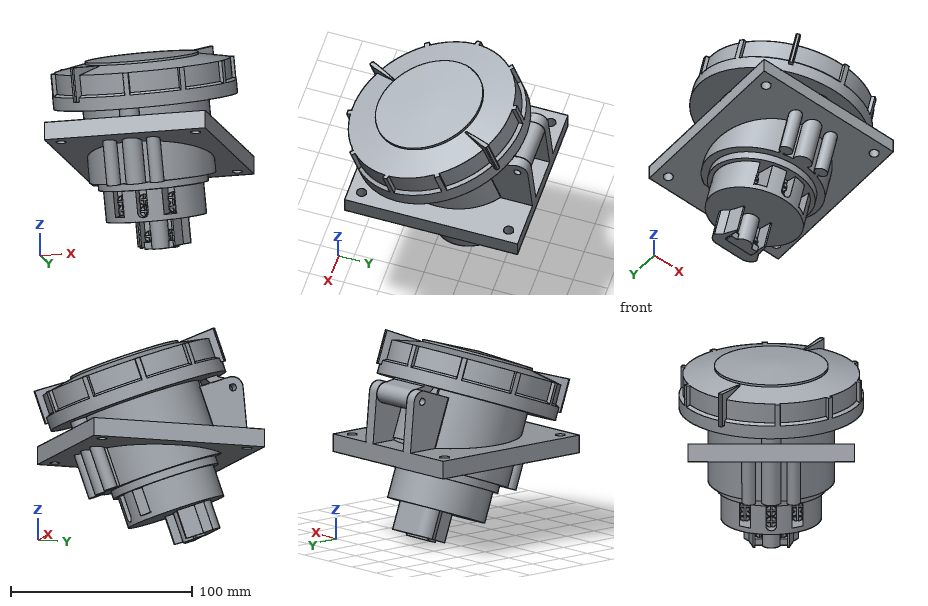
import cadquery as cq
import math

TILT = 20.0
AXIS_Y = 3.6

PLATE_X = 92.0
PLATE_Y = 100.0
PLATE_T = 10.0
SCREW_HOLE_D = 5.5
SCREW_PITCH_X = 77.0
SCREW_PITCH_Y = 85.0

LID_D = 101.9
LID_R = LID_D / 2
LID_BOTTOM = 32.1
SKIRT_TOP = 39.5
GRIP_R = 48.8
GRIP_BOTTOM = 40.7
GRIP_TOP = 51.8
DISC_R = 31.4
DISC_BOTTOM = 55.3
DISC_TOP = 56.6
APEX = 58.2
RIB_COUNT = 10
RIB_FIRST_ANGLE = 94.0
RIB_W = 2.9
HANDLE_SLOTS = (4, 9)
HANDLE_R = 53.5
HANDLE_INNER_R = 33.1
HANDLE_ROOT_R = 45.9
HANDLE_BOTTOM = 37.2
HANDLE_TOP = 56.4
HANDLE_W = 2.5
HANDLE_TIP_W = 0.9
HANDLE_BEVEL = 0.6

SHROUD_R = 35.0
SHROUD_BOTTOM = -10.5
SHROUD_TOP = 46.5
COLLAR_R = 30.4
COLLAR_BOTTOM = -14.9
KEY_R = 35.9
MAIN_BOSS_R = 5.5
MAIN_BOSS_Y = -36.5
SIDE_BOSS_R = 3.8
SIDE_BOSS_X = 12.4
SIDE_BOSS_Y = -37.4
SIDE_BOSS_WEB = 2.3
SIDE_BOSS_TOP = 20.9

INSERT_R = 27.8
INSERT_BOTTOM = -32.6
WINDOW_W = 6.0
WINDOW_X = 14.4
SIDE_WINDOW_BOTTOM = -29.6
SIDE_SCREW_Y = -14.4
SIDE_SCREW_PITCH = 5.3
MID_WINDOW_BOTTOM = -30.3
MID_SCREW_Y = -22.1
MID_SCREW_PITCH = 6.5
SCREW_R = 3.0
SCREW_HEAD_T = 1.7
SCREW_SLOT_W = 1.0
SCREW_SLOT_DEPTH = 0.9

BLOCK_BOTTOM = -48.9
BLOCK_BACK = 17.7
BLOCK_HALF_X = 15.1
BLOCK_CORNER_R = 6.4
WAIST_X = 12.2
WAIST_Y = 6.5
WING_X = 10.0
WING_FRONT = -3.3
WING_T = 0.9
BLOCK_FRONT = 2.8
POST_R = 5.0
POST_Y = 3.5
POST_BOTTOM = -50.1
NICHE_BOTTOM = -46.2
NICHE_INNER_X = 3.7
NICHE_DEPTH = 3.7

PIVOT_Y = 48.3
PIVOT_HEIGHT = 22.5
PIVOT_HOLE_R = 2.0
LUG_R = 6.0
LUG_INNER_X = 12.5
LUG_W = 6.2
LUG_FRONT_Y = 29.9
BARREL_R = 5.8
ARM_FRONT_Y = 36.8
ARM_BEND_Y = 39.2
ARM_BEND_HEIGHT = 28.6
ARM_BACK_Y = 44.4
ARM_SHOULDER_HEIGHT = 31.1

TILT_COS = math.cos(math.radians(TILT))
TILT_SIN = math.sin(math.radians(TILT))


def to_world(y, height):
    """World (Y, Z) of a point given in the upright socket frame."""
    return (AXIS_Y + y * TILT_COS - height * TILT_SIN, y * TILT_SIN + height * TILT_COS)


def lean(shape):
    """Move a shape from the upright socket frame to its leaning place."""
    return shape.rotate((0, 0, 0), (1, 0, 0), TILT).translate((0, AXIS_Y, 0))


def cylinder(radius, bottom, top, x=0.0, y=0.0):
    return cq.Workplane("XY", origin=(x, y, bottom)).circle(radius).extrude(top - bottom)


def box(x0, x1, y0, y1, z0, z1):
    return cq.Workplane("XY").box(x1 - x0, y1 - y0, z1 - z0, centered=False).translate((x0, y0, z0))



def mounting_plate():
    blank = cq.Workplane("XY").box(PLATE_X, PLATE_Y, PLATE_T, centered=(True, True, False))
    top = blank.faces(">Z").workplane()
    return top.rect(SCREW_PITCH_X, SCREW_PITCH_Y, forConstruction=True).vertices().hole(SCREW_HOLE_D)


def hinge_lug(x_start):
    """Upright lug: rounded around the pivot, its back edge running tangent down to the plate edge."""
    pivot = to_world(PIVOT_Y, PIVOT_HEIGHT)
    plate_edge = (PLATE_Y / 2, PLATE_T)
    to_edge = (plate_edge[0] - pivot[0], plate_edge[1] - pivot[1])
    edge_angle = math.atan2(to_edge[1], to_edge[0])
    back_angle = edge_angle + math.acos(LUG_R / math.hypot(*to_edge))
    top_angle = math.radians(90 + TILT)

    def on_rim(angle):
        return (pivot[0] + LUG_R * math.cos(angle), pivot[1] + LUG_R * math.sin(angle))

    profile = (
        cq.Workplane("YZ", origin=(x_start, 0, 0))
        .moveTo(*plate_edge)
        .lineTo(*on_rim(back_angle))
        .threePointArc(on_rim((back_angle + top_angle) / 2), on_rim(top_angle))
        .lineTo(*to_world(LUG_FRONT_Y, PIVOT_HEIGHT + LUG_R))
        .lineTo(*to_world(LUG_FRONT_Y, 0))
        .lineTo(to_world(LUG_FRONT_Y, 0)[0], PLATE_T / 2)
        .lineTo(PLATE_Y / 2, PLATE_T / 2)
        .close()
    )
    hole = cq.Workplane("YZ", origin=(x_start, 0, 0)).center(*pivot).circle(PIVOT_HOLE_R).extrude(LUG_W)
    return profile.extrude(LUG_W).cut(hole)


def shroud():
    body = cylinder(SHROUD_R, SHROUD_BOTTOM, SHROUD_TOP)
    body = body.union(cylinder(COLLAR_R, COLLAR_BOTTOM, SHROUD_BOTTOM))
    key_zone = box(-LUG_INNER_X, LUG_INNER_X, 0, KEY_R, 0, LID_BOTTOM)
    return body.union(cylinder(KEY_R, 0, LID_BOTTOM).intersect(key_zone))


def main_boss():
    return cylinder(MAIN_BOSS_R, SHROUD_BOTTOM, LID_BOTTOM, y=MAIN_BOSS_Y)


def side_boss(x):
    half = SIDE_BOSS_WEB / 2
    web = box(x - half, x + half, SIDE_BOSS_Y, -COLLAR_R, SHROUD_BOTTOM, SIDE_BOSS_TOP)
    return cylinder(SIDE_BOSS_R, SHROUD_BOTTOM, SIDE_BOSS_TOP, x, SIDE_BOSS_Y).union(web)


def screw_head(x, y, height, back_y):
    """Cross-slotted screw head facing -Y, from its face at y back to back_y."""
    head = cq.Workplane("XZ", origin=(x, y, height)).circle(SCREW_R).extrude(y - back_y)
    half_slot = SCREW_SLOT_W / 2
    floor = y + SCREW_SLOT_DEPTH
    upright = box(x - half_slot, x + half_slot, y, floor, height - SCREW_R, height + SCREW_R)
    level = box(x - SCREW_R, x + SCREW_R, y, floor, height - half_slot, height + half_slot)
    return head.cut(upright).cut(level)


def insert():
    body = cylinder(INSERT_R, INSERT_BOTTOM, COLLAR_BOTTOM)
    half = WINDOW_W / 2

    side_back = SIDE_SCREW_Y + SCREW_HEAD_T
    for x in (-WINDOW_X, WINDOW_X):
        body = body.cut(box(x - half, x + half, -INSERT_R, side_back, SIDE_WINDOW_BOTTOM, COLLAR_BOTTOM))
        lower = SIDE_WINDOW_BOTTOM + SCREW_R
        for height in (lower, lower + SIDE_SCREW_PITCH):
            body = body.union(screw_head(x, SIDE_SCREW_Y, height, side_back))

    mid_back = MID_SCREW_Y + SCREW_HEAD_T
    lower = MID_WINDOW_BOTTOM + half
    body = body.cut(box(-half, half, -INSERT_R, mid_back, lower, COLLAR_BOTTOM))
    round_end = cq.Workplane("XZ", origin=(0, mid_back, lower)).circle(half).extrude(INSERT_R)
    body = body.cut(round_end)
    for height in (lower, lower + MID_SCREW_PITCH):
        body = body.union(screw_head(0, MID_SCREW_Y, height, mid_back))
    return body


def terminal_block():
    shoulder_y = BLOCK_BACK - BLOCK_CORNER_R
    back_x = BLOCK_HALF_X - BLOCK_CORNER_R
    diagonal = BLOCK_CORNER_R * math.sqrt(0.5)
    half_outline = (
        cq.Workplane("XY", origin=(0, 0, BLOCK_BOTTOM))
        .moveTo(0, WING_FRONT)
        .lineTo(WING_X, WING_FRONT)
        .lineTo(WAIST_X, WAIST_Y)
        .lineTo(BLOCK_HALF_X, shoulder_y)
        .threePointArc((back_x + diagonal, shoulder_y + diagonal), (back_x, BLOCK_BACK))
        .lineTo(0, BLOCK_BACK)
        .close()
    )
    half_block = half_outline.extrude(INSERT_BOTTOM - BLOCK_BOTTOM)
    inner_x = WING_X - WING_T
    half_block = half_block.cut(box(0, inner_x, WING_FRONT, BLOCK_FRONT, BLOCK_BOTTOM, INSERT_BOTTOM))
    niche_back = BLOCK_FRONT + NICHE_DEPTH
    niche = box(NICHE_INNER_X, inner_x, BLOCK_FRONT, niche_back, NICHE_BOTTOM, INSERT_BOTTOM)
    screw_x = inner_x - SCREW_R
    screw = screw_head(screw_x, niche_back - SCREW_HEAD_T, NICHE_BOTTOM + SCREW_R, niche_back)
    half_block = half_block.cut(niche).union(screw)
    foot_back = POST_Y + POST_R
    half_block = half_block.union(box(0, inner_x, BLOCK_FRONT, foot_back, POST_BOTTOM, BLOCK_BOTTOM))
    block = half_block.union(half_block.mirror("YZ"))
    return block.union(cylinder(POST_R, POST_BOTTOM, INSERT_BOTTOM, y=POST_Y))


def housing_body():
    socket = shroud().union(insert()).union(terminal_block())
    socket = socket.union(main_boss())
    for x in (-SIDE_BOSS_X, SIDE_BOSS_X):
        socket = socket.union(side_boss(x))
    body = mounting_plate().union(lean(socket))
    for x_start in (-LUG_INNER_X - LUG_W, LUG_INNER_X):
        body = body.union(hinge_lug(x_start))
    return body



def lid_shell():
    """Turned lid: skirt, bevel, grip band, sloping top and raised disc."""
    outline = [
        (0, LID_BOTTOM),
        (LID_R, LID_BOTTOM),
        (LID_R, SKIRT_TOP),
        (GRIP_R, GRIP_BOTTOM),
        (GRIP_R, GRIP_TOP),
        (DISC_R, DISC_BOTTOM),
        (DISC_R, DISC_TOP),
        (0, APEX),
    ]
    return cq.Workplane("XZ").polyline(outline).close().revolve(360, (0, 0, 0), (0, 1, 0))


def grip_rib():
    """Rib along +X, flush with the skirt."""
    half = RIB_W / 2
    outer_x = math.sqrt(LID_R**2 - half**2)
    profile = (
        cq.Workplane("XY", origin=(0, 0, SKIRT_TOP))
        .moveTo(DISC_R, -half)
        .lineTo(outer_x, -half)
        .threePointArc((LID_R, 0), (outer_x, half))
        .lineTo(DISC_R, half)
        .close()
    )
    return profile.extrude(GRIP_TOP - SKIRT_TOP)


def handle():
    """Fin along +X, thin over the lid top and widening to the outer end."""
    side = (
        cq.Workplane("XZ", origin=(0, HANDLE_W, 0))
        .polyline([
            (HANDLE_INNER_R, GRIP_TOP),
            (HANDLE_INNER_R, DISC_BOTTOM),
            (HANDLE_R, HANDLE_TOP),
            (HANDLE_R, HANDLE_BOTTOM),
            (HANDLE_ROOT_R, HANDLE_BOTTOM),
            (HANDLE_ROOT_R, GRIP_TOP),
        ])
        .close()
        .extrude(2 * HANDLE_W)
    )
    taper = (
        cq.Workplane("XY", origin=(0, 0, HANDLE_BOTTOM))
        .polyline([
            (HANDLE_INNER_R, -HANDLE_TIP_W / 2),
            (GRIP_R, -HANDLE_W / 2),
            (HANDLE_R - HANDLE_BEVEL, -HANDLE_W / 2),
            (HANDLE_R, HANDLE_BEVEL - HANDLE_W / 2),
            (HANDLE_R, HANDLE_W / 2 - HANDLE_BEVEL),
            (HANDLE_R - HANDLE_BEVEL, HANDLE_W / 2),
            (GRIP_R, HANDLE_W / 2),
            (HANDLE_INNER_R, HANDLE_TIP_W / 2),
        ])
        .close()
        .extrude(HANDLE_TOP - HANDLE_BOTTOM)
    )
    return side.intersect(taper)


def hinge_arm():
    """Barrel between the lugs and the arm that joins it to the skirt."""
    plane = cq.Workplane("YZ", origin=(-LUG_INNER_X, 0, 0))
    width = 2 * LUG_INNER_X
    tangent = math.radians(90 - TILT)
    barrel_top = (PIVOT_Y + BARREL_R * math.cos(tangent), PIVOT_HEIGHT + BARREL_R * math.sin(tangent))
    arm = plane.polyline([
        (PIVOT_Y, PIVOT_HEIGHT),
        barrel_top,
        (ARM_BACK_Y, ARM_SHOULDER_HEIGHT),
        (ARM_BACK_Y, SKIRT_TOP),
        (ARM_FRONT_Y, SKIRT_TOP),
        (ARM_FRONT_Y, LID_BOTTOM),
        (ARM_BEND_Y, ARM_BEND_HEIGHT),
    ]).close().extrude(width)
    barrel = plane.center(PIVOT_Y, PIVOT_HEIGHT).circle(BARREL_R).extrude(width)
    hole = plane.center(PIVOT_Y, PIVOT_HEIGHT).circle(PIVOT_HOLE_R).extrude(width)
    return arm.union(barrel).cut(hole)


def lid_body():
    body = lid_shell()
    for slot in range(RIB_COUNT):
        grip = handle() if slot in HANDLE_SLOTS else grip_rib()
        angle = RIB_FIRST_ANGLE + slot * 360 / RIB_COUNT
        body = body.union(grip.rotate((0, 0, 0), (0, 0, 1), angle))
    body = body.union(hinge_arm())
    body = body.cut(cylinder(SHROUD_R, LID_BOTTOM, SHROUD_TOP))
    return lean(body)


housing = housing_body()
lid = lid_body()

result = cq.Compound.makeCompound([housing.val(), lid.val()])